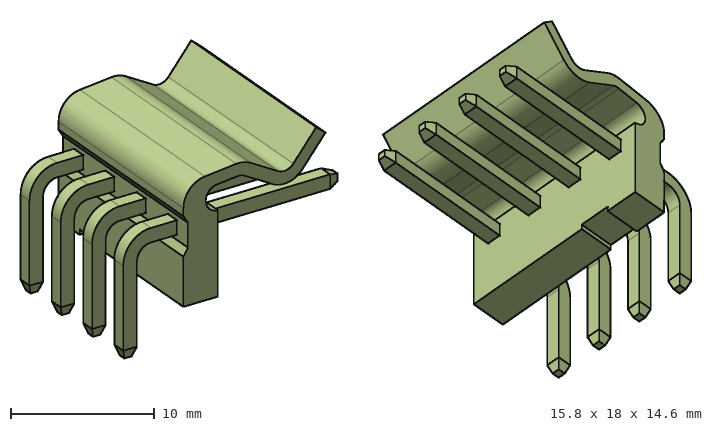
import cadquery as cq
import math

pin_count = 4
pitch = 3.96
pin_size = 1.14
pin_half = pin_size / 2
pin_height = 5.5
pin_bend_inner = 1.16
pin_bend_outer = pin_bend_inner + pin_size
pin_front = -4.08
pin_reach = 13.91
pin_bottom = -3.68
tip_length = 0.8
tip_size = 0.6

width = pin_count * pitch
block_depth = 2.87
block_back_height = 6.74
groove_depth = 0.37
groove_floor = 1.94
groove_mouth = 3.16
notch_width = 2.54
notch_height = 0.43

arm_thickness = 1.0
shoulder_radius = 1.98
shoulder_start = 7.72
throat_radius = 0.95
throat_y = 2.82
roof_angle = math.radians(5.5)
dip_angle = math.radians(29.5)
lip_angle = math.radians(50.5)
hump_y = 4.4
hump_outer = 2.0
hump_inner = hump_outer - arm_thickness
valley_y = 7.87
valley_inner = 1.0
valley_outer = valley_inner + arm_thickness
lip_top = 10.94


def around(centre, radius, angle):
    """Point on a circle; the angle leans from straight up towards +Y."""
    return (centre[0] + radius * math.sin(angle), centre[1] + radius * math.cos(angle))


def make_housing():
    shoulder = (shoulder_radius, shoulder_start)
    roof_start = around(shoulder, shoulder_radius, -roof_angle)

    roof_end = (hump_y, roof_start[1] + (hump_y - roof_start[0]) * math.tan(roof_angle))
    hump = around(roof_end, -hump_outer, -roof_angle)
    hump_middle = (dip_angle - roof_angle) / 2
    hump_under_end = around(hump, hump_inner, -roof_angle)
    dip_start = around(hump, hump_outer, dip_angle)

    dip_end = (valley_y, dip_start[1] - (valley_y - dip_start[0]) * math.tan(dip_angle))
    valley = around(dip_end, valley_inner, dip_angle)
    valley_middle = (dip_angle - lip_angle) / 2
    valley_under_end = around(valley, -valley_outer, dip_angle)
    lip_start = around(valley, -valley_inner, -lip_angle)
    lip_rise = lip_top - lip_start[1]
    lip_end = (lip_start[0] + lip_rise / math.tan(lip_angle), lip_top)
    lip_corner = around(lip_end, -arm_thickness, -lip_angle)

    under_roof = around(roof_start, -arm_thickness, -roof_angle)
    throat_top_z = under_roof[1] + (throat_y - under_roof[0]) * math.tan(roof_angle)
    throat = (throat_y, throat_top_z - throat_radius / math.cos(roof_angle))
    throat_start = around(throat, throat_radius, -roof_angle)
    throat_middle = around(throat, throat_radius, -math.pi / 2)

    outline = (
        cq.Workplane("YZ")
        .moveTo(0, 0)
        .lineTo(0, pin_height - groove_mouth / 2)
        .lineTo(groove_depth, pin_height - groove_floor / 2)
        .lineTo(groove_depth, pin_height + groove_floor / 2)
        .lineTo(0, pin_height + groove_mouth / 2)
        .lineTo(0, shoulder_start)
        .threePointArc(around(shoulder, shoulder_radius, -math.pi / 4), roof_start)
        .lineTo(*roof_end)
        .threePointArc(around(hump, hump_outer, hump_middle), dip_start)
        .lineTo(*dip_end)
        .threePointArc(around(valley, -valley_inner, valley_middle), lip_start)
        .lineTo(*lip_end)
        .lineTo(*lip_corner)
        .lineTo(*around(valley, -valley_outer, -lip_angle))
        .threePointArc(around(valley, -valley_outer, valley_middle), valley_under_end)
        .lineTo(*around(hump, hump_inner, dip_angle))
        .threePointArc(around(hump, hump_inner, hump_middle), hump_under_end)
        .lineTo(*throat_start)
        .threePointArc(throat_middle, (block_depth, block_back_height))
        .lineTo(block_depth, 0)
        .close()
    )
    body = outline.extrude(width / 2, both=True)

    notch = (
        cq.Workplane("XY")
        .box(notch_width, block_depth, notch_height, centered=(True, False, False))
        .translate((-pitch, 0, 0))
    )
    return body.cut(notch)


def make_tip(plane):
    """Tapered end growing along the normal of the given plane."""
    return (
        cq.Workplane(plane)
        .rect(pin_size, pin_size)
        .workplane(offset=tip_length)
        .rect(tip_size, tip_size)
        .loft(ruled=True)
    )


def make_pin(x):
    leg_y = pin_front + pin_half
    bend_y = pin_front + pin_bend_outer
    bend_z = pin_height + pin_half - pin_bend_outer
    bend_radius = pin_bend_inner + pin_half
    shank_end = pin_reach - tip_length
    leg_end = pin_bottom + tip_length

    path = (
        cq.Workplane("YZ", origin=(x, 0, 0))
        .moveTo(shank_end, pin_height)
        .lineTo(bend_y, pin_height)
        .threePointArc(around((bend_y, bend_z), bend_radius, -math.pi / 4), (leg_y, bend_z))
        .lineTo(leg_y, leg_end)
    )
    shank_plane = cq.Plane(origin=(x, shank_end, pin_height), xDir=(1, 0, 0), normal=(0, 1, 0))
    leg_plane = cq.Plane(origin=(x, leg_y, leg_end), xDir=(1, 0, 0), normal=(0, 0, -1))
    wire = cq.Workplane(shank_plane).rect(pin_size, pin_size).sweep(path)
    return wire.union(make_tip(shank_plane)).union(make_tip(leg_plane))


pins = []
for index in range(pin_count):
    pins.append(make_pin((index - (pin_count - 1) / 2) * pitch))

housing = make_housing()
for pin in pins:
    housing = housing.cut(pin)

result = cq.Compound.makeCompound([housing.val(), *[pin.val() for pin in pins]])